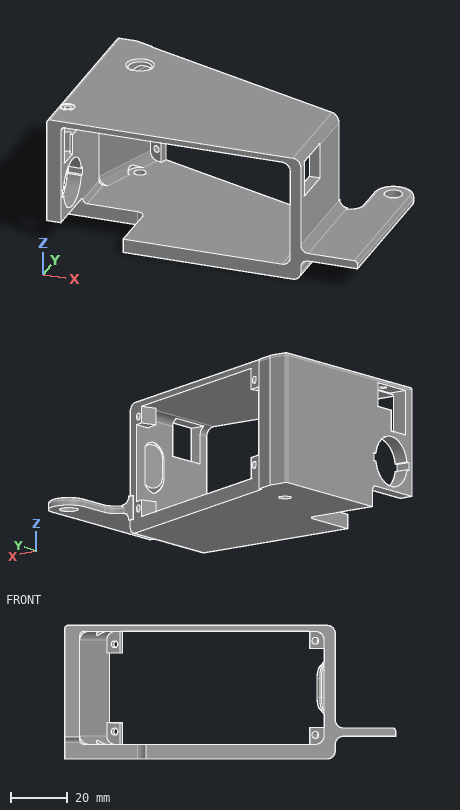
import math

import cadquery as cq

OVERALL_X = 116.45
OVERALL_Y = 72.2
OVERALL_Z = 47.1

HOUSING_X = 95.2
LEFT_WALL = 5.3
RIGHT_WALL = 4.0
FLOOR = 5.2
ROOF = 2.2
CORNER_R = 3.0
CAVITY_FRONT_R = 1.5
TOP_EDGE_R = 1.2
BACK_CORNER_R = 0.8

LEFT_CUT_X = LEFT_WALL + CAVITY_FRONT_R
CAVITY_RIGHT = HOUSING_X - RIGHT_WALL
CEILING = OVERALL_Z - ROOF
CAVITY_Z = CEILING - FLOOR
CAVITY_MID_Z = (FLOOR + CEILING) / 2

SLANT = 20.0
SLANT_TAN = math.tan(math.radians(SLANT))
SLANT_SIN = math.sin(math.radians(SLANT))
SLANT_COS = math.cos(math.radians(SLANT))
SLANT_Y_AT_RIGHT = 39.0
LIP_X = 14.0
LIP_HEIGHT = 1.2

LEAN_END_X = 15.8

TAB_HOLE_D = 2.4
TAB_DRILL_MARGIN = 10.0
LEFT_TAB_THICKNESS = 2.8
LEFT_TAB_RIGHT_X = 20.4
LEFT_TAB_Z = 7.6
LEFT_TAB_HOLE_X = 17.5
LEFT_TAB_HOLE_INSET = 4.5
RIGHT_TAB_THICKNESS = 6.0
RIGHT_TAB_LEFT_X = 86.1
RIGHT_TAB_Z = 6.0
RIGHT_TAB_HOLE_X = 88.1
RIGHT_TAB_HOLE_INSET = 3.3

FLANGE_BOTTOM = 8.0
FLANGE_THICKNESS = 3.0
FLANGE_EDGE_R = 1.2
FLANGE_ROOT_R = 2.8
FLANGE_Y = 39.8
LUG_R = 7.2
LUG_Y = 56.1
LUG_HOLE_D = 6.4
LUG_NECK_R = 4.8

NOTCH_X = 28.6
NOTCH_Y = 22.8
NOTCH_Z = 7.7
NOTCH_WALL_R = 1.9

KEY_Y = 11.9
KEY_Z = 18.2
KEY_D = 18.0
KEY_TAB_SPAN = 20.0
KEY_TAB_Z = 2.8

PORT_FRONT = 3.9
PORT_BACK = 19.6
PORT_STEP_Y = 11.9
PORT_BOTTOM = 29.2
PORT_TOP = 45.2
PORT_STEP_Z = 36.7
RIGHT_PORT_BOTTOM = 31.2
RIGHT_PORT_TOP = 44.6

PORT_SCREW_X = 3.3
PORT_SCREW_Y = 12.4
PORT_SCREW_D = 2.4
PORT_SCREW_HEAD_D = 5.0
PORT_SCREW_HEAD_DEPTH = 0.3

ACCESS_X = 15.4
ACCESS_Y = 53.2
ACCESS_D = 8.4
ACCESS_CHAMFER = 0.8
FLOOR_HOLE_D = 4.3

BOSS_Y = 33.0
BOSS_LENGTH = 19.0
BOSS_WIDTH = 12.3
BOSS_CHAMFER = 1.7
BOSS_RIM_X = 88.7
BOSS_DEPTH = 4.0


def slant_y(x, offset=0.0):
    """Y of the back plane at x; offset moves the plane outwards along its normal."""
    return SLANT_Y_AT_RIGHT + (HOUSING_X - x) * SLANT_TAN + offset / SLANT_COS


def block(x0, x1, y0, y1, z0, z1):
    """Axis-aligned box between two opposite corners."""
    return cq.Workplane("XY").box(x1 - x0, y1 - y0, z1 - z0, centered=False).translate((x0, y0, z0))


def make_housing():
    """Solid outer shape: flat back corner at the left, then a lip, then the slanted plane."""
    lip_start_x = HOUSING_X - (OVERALL_Y - LIP_HEIGHT / SLANT_COS - SLANT_Y_AT_RIGHT) / SLANT_TAN
    lip_end_y = slant_y(LIP_X, LIP_HEIGHT)
    body = (
        cq.Workplane("XY")
        .moveTo(0, 0)
        .lineTo(HOUSING_X, 0)
        .lineTo(HOUSING_X, slant_y(HOUSING_X))
        .lineTo(LIP_X, slant_y(LIP_X))
        .lineTo(LIP_X, lip_end_y)
        .lineTo(lip_start_x, OVERALL_Y)
        .lineTo(0, OVERALL_Y)
        .close()
        .extrude(OVERALL_Z)
    )
    body = body.edges("|Y and >X").fillet(CORNER_R)
    body = body.edges("|Z and <X and >Y").fillet(BACK_CORNER_R)
    lip_edge = cq.selectors.BoxSelector(
        (0, slant_y(LIP_X, LIP_HEIGHT / 2), OVERALL_Z - TOP_EDGE_R / 2),
        (LIP_X - TOP_EDGE_R, OVERALL_Y + LIP_HEIGHT, OVERALL_Z + TOP_EDGE_R / 2),
    )
    left_edge = cq.selectors.StringSyntaxSelector("|Y and <X and >Z")
    return body.edges(cq.selectors.SumSelector(left_edge, lip_edge)).fillet(TOP_EDGE_R)


def make_cavity():
    """Straight front cavity, joined to a rear one that leans over square to the slanted back."""
    bend_y = slant_y(LEAN_END_X) - (LEAN_END_X - LEFT_WALL) / SLANT_TAN
    front = block(LEFT_WALL, CAVITY_RIGHT, 0, bend_y, FLOOR, CEILING)
    front = front.edges("|Y and >X").fillet(CORNER_R)
    front = front.edges("|Y and <X").fillet(CAVITY_FRONT_R)
    back_limit = OVERALL_Y + LIP_HEIGHT
    lean_x = (back_limit - bend_y) * SLANT_TAN
    rear = (
        cq.Workplane("XY")
        .workplane(offset=FLOOR)
        .moveTo(LEFT_WALL, bend_y)
        .lineTo(LEFT_WALL + lean_x, back_limit)
        .lineTo(CAVITY_RIGHT, back_limit)
        .lineTo(CAVITY_RIGHT, 0)
        .lineTo(LEFT_WALL - bend_y * SLANT_TAN, 0)
        .close()
        .extrude(CAVITY_Z)
    )
    lean_direction = cq.Vector(SLANT_SIN, SLANT_COS, 0)
    rear = rear.edges(cq.selectors.ParallelDirSelector(lean_direction)).fillet(CORNER_R)
    rear = rear.edges("|Y and >X").fillet(CORNER_R)
    rear = rear.intersect(block(LEFT_WALL, OVERALL_X, bend_y, back_limit, 0, OVERALL_Z))
    return front.union(rear)


def make_tabs(left_x, right_x, thickness, height, hole_x, hole_inset):
    """Upper and lower corner tabs flush with the slanted back, drilled square to it."""
    dx = thickness * SLANT_SIN
    dy = thickness * SLANT_COS
    outline = [
        (left_x, slant_y(left_x)),
        (right_x, slant_y(right_x)),
        (right_x - dx, slant_y(right_x) - dy),
        (left_x - dx, slant_y(left_x) - dy),
    ]
    slab = cq.Workplane("XY").polyline(outline).close().extrude(OVERALL_Z)
    lower = slab.intersect(block(0, HOUSING_X, 0, OVERALL_Y, FLOOR, FLOOR + height))
    upper = slab.intersect(block(0, HOUSING_X, 0, OVERALL_Y, CEILING - height, CEILING))
    tabs = lower.union(upper)
    axis = cq.Vector(SLANT_SIN, SLANT_COS, 0)
    front_y = slant_y(hole_x) - thickness / SLANT_COS
    for z in (FLOOR + hole_inset, CEILING - hole_inset):
        start = cq.Vector(hole_x, front_y, z) - axis * TAB_DRILL_MARGIN
        tabs = tabs.cut(cq.Solid.makeCylinder(TAB_HOLE_D / 2, thickness + 2 * TAB_DRILL_MARGIN, start, axis))
    return tabs


def make_flange():
    """Side plate with a rounded lug at the back and filleted roots along the housing."""
    top = FLANGE_BOTTOM + FLANGE_THICKNESS
    inner_x = HOUSING_X - RIGHT_WALL / 2
    lug_x = OVERALL_X - LUG_R
    neck_x = lug_x - LUG_R
    neck_mid = LUG_NECK_R * math.sqrt(0.5)
    plate = (
        cq.Workplane("XY")
        .workplane(offset=FLANGE_BOTTOM)
        .moveTo(inner_x, 0)
        .lineTo(OVERALL_X, 0)
        .lineTo(OVERALL_X, LUG_Y)
        .threePointArc((lug_x, LUG_Y + LUG_R), (neck_x, LUG_Y))
        .lineTo(neck_x, FLANGE_Y + LUG_NECK_R)
        .threePointArc(
            (neck_x - LUG_NECK_R + neck_mid, FLANGE_Y + LUG_NECK_R - neck_mid),
            (neck_x - LUG_NECK_R, FLANGE_Y),
        )
        .lineTo(inner_x, FLANGE_Y)
        .close()
        .extrude(FLANGE_THICKNESS)
    )
    plate = plate.faces(">Z").edges("not(<X or <Y)").fillet(FLANGE_EDGE_R)
    for face_z, side in ((top, 1), (FLANGE_BOTTOM, -1)):
        center_z = face_z + side * FLANGE_ROOT_R
        z0, z1 = sorted((face_z - side * FLANGE_THICKNESS / 2, center_z))
        root = block(inner_x, HOUSING_X + FLANGE_ROOT_R, 0, FLANGE_Y, z0, z1)
        axis_start = cq.Vector(HOUSING_X + FLANGE_ROOT_R, 0, center_z)
        hollow = cq.Solid.makeCylinder(FLANGE_ROOT_R, FLANGE_Y, axis_start, cq.Vector(0, 1, 0))
        plate = plate.union(root.cut(hollow))
    lug_hole = cq.Workplane("XY").center(lug_x, LUG_Y).circle(LUG_HOLE_D / 2).extrude(OVERALL_Z)
    return plate.cut(lug_hole)


def make_notch():
    """Corner cut of the floor, reaching a little higher where it passes the left wall."""
    floor_cut = block(0, NOTCH_X, 0, NOTCH_Y, 0, FLOOR).edges("|Z and >X and >Y").fillet(CORNER_R)
    wall_cut = block(0, LEFT_CUT_X, 0, NOTCH_Y, 0, NOTCH_Z)
    wall_cut = wall_cut.edges("|X and >Y and >Z").fillet(NOTCH_WALL_R)
    return floor_cut.union(wall_cut)


def make_key_opening():
    """Round hole through the left wall with a slot on each side."""
    start = cq.Vector(0, KEY_Y, KEY_Z)
    round_hole = cq.Solid.makeCylinder(KEY_D / 2, LEFT_WALL, start, cq.Vector(1, 0, 0))
    slots = block(
        0,
        LEFT_WALL,
        KEY_Y - KEY_TAB_SPAN / 2,
        KEY_Y + KEY_TAB_SPAN / 2,
        KEY_Z - KEY_TAB_Z / 2,
        KEY_Z + KEY_TAB_Z / 2,
    )
    return slots.union(cq.Workplane(round_hole))


def make_ports():
    """L-shaped opening in the left wall and rectangular opening in the right wall."""
    upper = block(0, LEFT_CUT_X, PORT_FRONT, PORT_BACK, PORT_STEP_Z, PORT_TOP)
    lower = block(0, LEFT_CUT_X, PORT_FRONT, PORT_STEP_Y, PORT_BOTTOM, PORT_TOP)
    right_start_x = CAVITY_RIGHT - CORNER_R
    right = block(right_start_x, HOUSING_X, PORT_FRONT, PORT_BACK, RIGHT_PORT_BOTTOM, RIGHT_PORT_TOP)
    return upper.union(lower).union(right)


def make_port_screw():
    """Counterbored hole from the roof, grooving the step of the L-shaped opening."""
    center = cq.Workplane("XY").center(PORT_SCREW_X, PORT_SCREW_Y)
    shank = center.workplane(offset=PORT_BOTTOM).circle(PORT_SCREW_D / 2).extrude(OVERALL_Z - PORT_BOTTOM)
    head = (
        center.workplane(offset=OVERALL_Z - PORT_SCREW_HEAD_DEPTH)
        .circle(PORT_SCREW_HEAD_D / 2)
        .extrude(PORT_SCREW_HEAD_DEPTH)
    )
    return shank.union(head)


def make_access_holes():
    """Chamfered screwdriver hole, cleared down to the floor, and the floor hole on the same axis."""
    center = cq.Workplane("XY").center(ACCESS_X, ACCESS_Y)
    floor_hole = center.circle(FLOOR_HOLE_D / 2).extrude(FLOOR)
    access_hole = center.workplane(offset=FLOOR).circle(ACCESS_D / 2).extrude(OVERALL_Z - FLOOR)
    rim = (
        center.workplane(offset=OVERALL_Z - ACCESS_CHAMFER)
        .circle(ACCESS_D / 2)
        .workplane(offset=ACCESS_CHAMFER)
        .circle(ACCESS_D / 2 + ACCESS_CHAMFER)
        .loft()
    )
    return floor_hole.union(access_hole).union(rim)


def make_boss():
    """Chamfered oblong boss on the right wall, its axis turned by the slant angle."""
    rim_half_width = BOSS_WIDTH / 2 - BOSS_CHAMFER
    top_x = BOSS_RIM_X + rim_half_width * SLANT_SIN
    plane = cq.Plane(
        origin=(top_x, BOSS_Y, CAVITY_MID_Z),
        xDir=(0, 0, 1),
        normal=(SLANT_COS, -SLANT_SIN, 0),
    )
    boss = cq.Workplane(plane).slot2D(BOSS_LENGTH, BOSS_WIDTH).extrude(BOSS_DEPTH)
    boss = boss.faces("<X").edges().chamfer(BOSS_CHAMFER)
    return boss.intersect(block(0, HOUSING_X, 0, slant_y(HOUSING_X), 0, OVERALL_Z))


left_tabs = make_tabs(
    LEAN_END_X - LEFT_WALL,
    LEFT_TAB_RIGHT_X,
    LEFT_TAB_THICKNESS,
    LEFT_TAB_Z,
    LEFT_TAB_HOLE_X,
    LEFT_TAB_HOLE_INSET,
)
right_tabs = make_tabs(
    RIGHT_TAB_LEFT_X + RIGHT_TAB_THICKNESS * SLANT_SIN,
    HOUSING_X - RIGHT_WALL / 2,
    RIGHT_TAB_THICKNESS,
    RIGHT_TAB_Z,
    RIGHT_TAB_HOLE_X,
    RIGHT_TAB_HOLE_INSET,
)

result = make_housing().cut(make_cavity())
result = result.union(left_tabs).union(right_tabs).union(make_boss()).union(make_flange())
result = result.cut(make_notch()).cut(make_key_opening()).cut(make_ports())
result = result.cut(make_port_screw()).cut(make_access_holes())